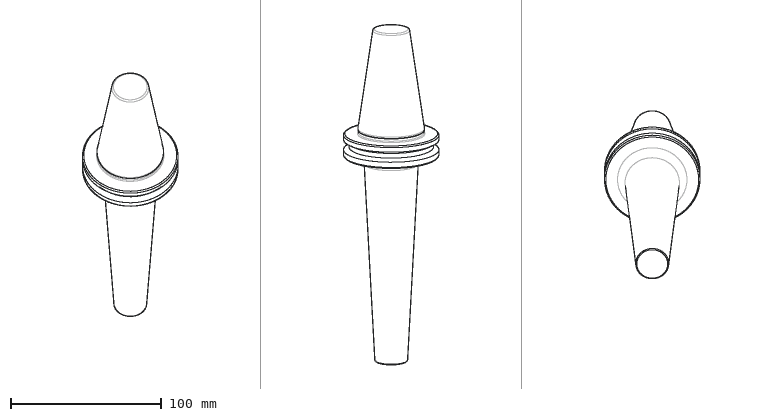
import cadquery as cq
import math

total_length = 228.5
cone_length = 68.3
bottom_z = cone_length - total_length

gauge_radius = 22.2
cone_slope = 7 / 48
cone_tip_radius = gauge_radius - cone_length * cone_slope
tip_round = 1.1

gauge_land = 1.0
neck_radius = 21.7
neck_fillet = 0.7
neck_mid_offset = neck_fillet * math.sqrt(0.5)
neck_chamfer = gauge_radius - neck_radius

flange_radius = 31.7
flange_top_z = -3.7
flange_bottom_z = -19.2
flange_chamfer = 1.0
groove_center_z = -11.2
groove_floor_radius = 28.0
groove_floor_width = 3.2
groove_wall_angle = 27
groove_floor_half = groove_floor_width / 2
groove_mouth_half = groove_floor_half + (
    (flange_radius - groove_floor_radius) * math.tan(math.radians(groove_wall_angle))
)

body_top_radius = 18.0
body_bottom_radius = 11.0
blend_radius = 5.0
body_top_z = flange_bottom_z - blend_radius
bottom_chamfer = 0.7

blend_center_radius = body_top_radius + blend_radius
blend_mid_offset = blend_radius * math.sqrt(0.5)

profile = (
    cq.Workplane("XZ")
    .moveTo(0, bottom_z)
    .lineTo(body_bottom_radius - bottom_chamfer, bottom_z)
    .lineTo(body_bottom_radius, bottom_z + bottom_chamfer)
    .lineTo(body_top_radius, body_top_z)
    .threePointArc(
        (blend_center_radius - blend_mid_offset, body_top_z + blend_mid_offset),
        (blend_center_radius, flange_bottom_z),
    )
    .lineTo(flange_radius - flange_chamfer, flange_bottom_z)
    .lineTo(flange_radius, flange_bottom_z + flange_chamfer)
    .lineTo(flange_radius, groove_center_z - groove_mouth_half)
    .lineTo(groove_floor_radius, groove_center_z - groove_floor_half)
    .lineTo(groove_floor_radius, groove_center_z + groove_floor_half)
    .lineTo(flange_radius, groove_center_z + groove_mouth_half)
    .lineTo(flange_radius, flange_top_z - flange_chamfer)
    .lineTo(flange_radius - flange_chamfer, flange_top_z)
    .lineTo(neck_radius + neck_fillet, flange_top_z)
    .threePointArc(
        (neck_radius + neck_fillet - neck_mid_offset, flange_top_z + neck_fillet - neck_mid_offset),
        (neck_radius, flange_top_z + neck_fillet),
    )
    .lineTo(neck_radius, -gauge_land - neck_chamfer)
    .lineTo(gauge_radius, -gauge_land)
    .lineTo(gauge_radius, 0)
    .lineTo(cone_tip_radius, cone_length)
    .lineTo(0, cone_length)
    .close()
)

result = profile.revolve(360, (0, 0, 0), (0, 1, 0)).faces(">Z").edges().fillet(tip_round)